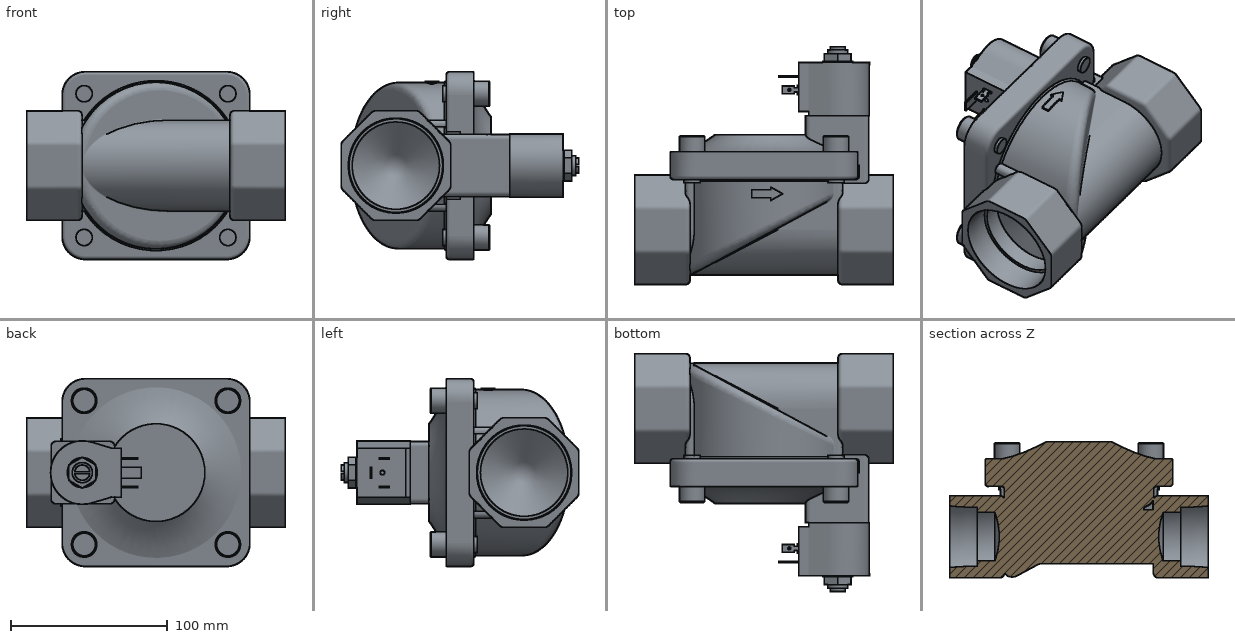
import cadquery as cq
import math


total_length = 165.0
total_depth = 151.8
pipe_radius = 29.0
end_sides = 8
end_flats = 70.0
end_length = 35.3
end_corner_radius = 4.3
end_rim_radius = 2.8
end_inner_x = total_length / 2 - end_length

thread_mouth_radius = 30.4
thread_root_radius = 29.9
thread_depth = 17.5
bore_radius = 27.9
bore_depth = 28.7
drill_point_angle = 118.0

flange_size = 120.0
flange_bottom_y = 32.0
flange_top_y = 49.8
flange_corner_radius = 15.0
flange_bottom_rounding = 2.3
flange_top_rounding = 1.0
pad_right_x = 60.7
pad_top_y = 41.1
pad_half_width = 21.5

chamber_radius = 53.1
chamber_slope = 28.3
chamber_plane_y = -3.8
chamber_rounding = 5.1
chamber_root_flare = 1.2
pipe_seam_rounding = 0.8

wall_half_length = 50.2
wall_inner_z = 24.8
wall_rounding = 3.0

arrow_tail_x = -8.0
arrow_neck_x = 4.3
arrow_tip_x = 11.9
arrow_y = 23.0
arrow_shaft_half = 2.5
arrow_head_half = 4.3
arrow_relief = 0.8

dome_top_y = 60.7
dome_top_radius = 31.2
dome_mid_radius = 41.5
dome_mid_y = 54.3
dome_base_radius = 54.5

bolt_offset = 45.9
bolt_head_diameter = 16.2
bolt_head_height = 10.2
bolt_head_chamfer = 0.8
bolt_end_diameter = 10.4
bolt_end_y = 29.9

tower_left_x = 26.4
tower_right_x = 67.0
tower_bottom_y = 29.4
tower_half_width = 20.0
tower_rounding = 3.3
coil_x = 47.0
coil_radius = 20.3
coil_bottom_y = 72.8
coil_top_y = 106.8
coil_face_x = 28.5
connector_face_x = 22.1
connector_bottom_y = 75.4
connector_half_width = 15.7

washer_diameter = 19.1
washer_thickness = 0.7
nut_sides = 6
nut_flats = 17.2
nut_height = 5.0
stud_diameter = 12.9
stud_height = 2.5
stud_tip_diameter = 9.7
slot_width = 1.3
overall_top_y = total_depth - end_flats / 2

ground_tip_x = 9.5
ground_y = 97.8
ground_width = 7.0
blade_thickness = 1.0
blade_tip_x = 11.5
blade_neck_x = 19.3
blade_base_x = 21.1
blade_y = 89.3
blade_z = 9.0
blade_height = 5.1
blade_neck_height = 3.0
blade_base_height = 6.1
blade_hole_x = 16.2
blade_hole_diameter = 1.5
screw_hole_y = 90.5
screw_hole_diameter = 2.8
screw_hole_depth = 3.3

overlap = 1.6


def plane_at_y(y):
    """Sketch plane facing +Y whose local x is X and local y is -Z."""
    return cq.Workplane("XZ", origin=(0, y, 0)).transformed(rotate=(180, 0, 0))


def disc(x, z, bottom_y, top_y, diameter):
    return plane_at_y(bottom_y).center(x, -z).circle(diameter / 2).extrude(top_y - bottom_y)


def box(x_range, y_range, z_range):
    sizes = [high - low for low, high in (x_range, y_range, z_range)]
    corner = (x_range[0], y_range[0], z_range[0])
    return cq.Workplane("XY").box(*sizes, centered=False).translate(corner)


def threaded_end():
    """Octagonal end on the +X side."""
    across_corners = end_flats / math.cos(math.pi / end_sides)
    return (
        cq.Workplane("YZ", origin=(end_inner_x, 0, 0))
        .transformed(rotate=(0, 0, 180 / end_sides))
        .polygon(end_sides, across_corners)
        .extrude(end_length)
        .edges("|X").fillet(end_corner_radius)
        .faces("<X").edges().fillet(end_rim_radius)
    )


def end_bore():
    """Material removed from the +X end."""
    face_x = total_length / 2
    point_depth = bore_radius / math.tan(math.radians(drill_point_angle / 2))
    return (
        cq.Workplane("XY")
        .moveTo(face_x, 0)
        .lineTo(face_x, thread_mouth_radius)
        .lineTo(face_x - thread_depth, thread_root_radius)
        .lineTo(face_x - thread_depth, bore_radius)
        .lineTo(face_x - bore_depth, bore_radius)
        .lineTo(face_x - bore_depth - point_depth, 0)
        .close()
        .revolve(360, (0, 0, 0), (1, 0, 0))
    )


def pipe():
    half_length = end_inner_x + overlap
    tube = cq.Workplane("YZ", origin=(-half_length, 0, 0)).circle(pipe_radius).extrude(2 * half_length)
    wall = box(
        (-wall_half_length, wall_half_length),
        (0, flange_bottom_y + overlap),
        (wall_inner_z, pipe_radius),
    ).edges("|Y and >Z").fillet(wall_rounding)
    return tube.union(wall).union(wall.mirror("XY"))


def chamber():
    reach = chamber_radius + overlap
    floor_y = -2 * chamber_radius
    rise = reach * math.tan(math.radians(chamber_slope))
    cylinder = disc(0, 0, floor_y, flange_bottom_y + overlap, 2 * chamber_radius)
    below_slope = (
        cq.Workplane("XY", origin=(0, 0, -reach))
        .polyline([
            (-reach, chamber_plane_y - rise),
            (reach, chamber_plane_y + rise),
            (reach, floor_y - overlap),
            (-reach, floor_y - overlap),
        ])
        .close()
        .extrude(2 * reach)
    )
    return cylinder.cut(below_slope).faces("<Y").edges().fillet(chamber_rounding)


def chamber_root():
    """Slight conical flare where the chamber meets the flange."""
    flare = cq.Solid.makeCone(
        chamber_radius,
        chamber_radius + chamber_root_flare,
        chamber_root_flare,
        pnt=cq.Vector(0, flange_bottom_y - chamber_root_flare, 0),
        dir=cq.Vector(0, 1, 0),
    )
    return cq.Workplane(flare)


def rounded_body():
    """Pipe and chamber with the seam between pipe and sloping face rounded."""
    slope = math.radians(chamber_slope)
    slope_normal = cq.Vector(math.sin(slope), -math.cos(slope), 0)
    joined = pipe().union(chamber())
    sloping_face = joined.faces(cq.selectors.ParallelDirSelector(slope_normal))
    return sloping_face.edges("%ELLIPSE or %LINE").fillet(pipe_seam_rounding)


def flow_arrow():
    outline = [
        (arrow_tail_x, arrow_y - arrow_shaft_half),
        (arrow_neck_x, arrow_y - arrow_shaft_half),
        (arrow_neck_x, arrow_y - arrow_head_half),
        (arrow_tip_x, arrow_y),
        (arrow_neck_x, arrow_y + arrow_head_half),
        (arrow_neck_x, arrow_y + arrow_shaft_half),
        (arrow_tail_x, arrow_y + arrow_shaft_half),
    ]
    prism = cq.Workplane("XY").polyline(outline).close().extrude(flange_size / 2)
    return prism.intersect(disc(0, 0, 0, flange_bottom_y, 2 * (chamber_radius + arrow_relief)))


def flange():
    return (
        plane_at_y(flange_bottom_y)
        .rect(flange_size, flange_size)
        .extrude(flange_top_y - flange_bottom_y)
        .edges("|Y").fillet(flange_corner_radius)
        .faces("<Y").edges().fillet(flange_bottom_rounding)
        .faces(">Y").edges().fillet(flange_top_rounding)
    )


def flange_pad():
    """Slight overhang of the flange underside around the pilot tower."""
    return box(
        (0, pad_right_x),
        (flange_bottom_y, pad_top_y),
        (-pad_half_width, pad_half_width),
    ).edges(">X and <Y").fillet(flange_bottom_rounding)


def dome():
    return (
        cq.Workplane("XY")
        .moveTo(0, flange_top_y - overlap)
        .lineTo(dome_base_radius, flange_top_y - overlap)
        .lineTo(dome_base_radius, flange_top_y)
        .threePointArc((dome_mid_radius, dome_mid_y), (dome_top_radius, dome_top_y))
        .lineTo(0, dome_top_y)
        .close()
        .revolve(360, (0, 0, 0), (0, 1, 0))
    )


def bolt(x, z):
    head_top_y = flange_top_y + bolt_head_height
    head = disc(x, z, flange_top_y - overlap, head_top_y, bolt_head_diameter)
    head = head.faces(">Y").chamfer(bolt_head_chamfer)
    return head.union(disc(x, z, bolt_end_y, flange_top_y, bolt_end_diameter))


def tower():
    return box(
        (tower_left_x, tower_right_x),
        (tower_bottom_y, coil_bottom_y),
        (-tower_half_width, tower_half_width),
    ).edges("|Y").fillet(tower_rounding)


def coil():
    """Round coil whose sides run tangentially into the narrower connector face."""
    run = coil_x - coil_face_x
    distance = math.hypot(run, connector_half_width)
    corner_angle = math.atan2(connector_half_width, -run)
    tangent_angle = corner_angle - math.acos(coil_radius / distance)
    tangent_x = coil_x + coil_radius * math.cos(tangent_angle)
    tangent_z = coil_radius * math.sin(tangent_angle)
    body = (
        plane_at_y(coil_bottom_y)
        .moveTo(coil_face_x, -connector_half_width)
        .lineTo(tangent_x, -tangent_z)
        .threePointArc((coil_x + coil_radius, 0), (tangent_x, tangent_z))
        .lineTo(coil_face_x, connector_half_width)
        .close()
        .extrude(coil_top_y - coil_bottom_y)
    )
    connector = box(
        (connector_face_x, coil_face_x + overlap),
        (connector_bottom_y, coil_top_y),
        (-connector_half_width, connector_half_width),
    )
    screw_hole = (
        cq.Workplane("YZ", origin=(connector_face_x, 0, 0))
        .center(screw_hole_y, 0)
        .circle(screw_hole_diameter / 2)
        .extrude(screw_hole_depth)
    )
    return body.union(connector).cut(screw_hole)


def coil_fastening():
    washer_top_y = coil_top_y + washer_thickness
    nut_top_y = washer_top_y + nut_height
    stud_top_y = nut_top_y + stud_height
    washer = disc(coil_x, 0, coil_top_y - overlap, washer_top_y, washer_diameter)
    nut = (
        plane_at_y(washer_top_y)
        .center(coil_x, 0)
        .transformed(rotate=(0, 0, 180 / nut_sides))
        .polygon(nut_sides, nut_flats / math.cos(math.pi / nut_sides))
        .extrude(nut_height)
    )
    stud = disc(coil_x, 0, washer_top_y, stud_top_y, stud_diameter)
    tip = disc(coil_x, 0, washer_top_y, overall_top_y, stud_tip_diameter)
    slot = box(
        (coil_x - stud_diameter, coil_x + stud_diameter),
        (stud_top_y, overall_top_y),
        (-slot_width / 2, slot_width / 2),
    )
    return washer.union(nut).union(stud).union(tip.cut(slot))


def plug_blade(z):
    """Flat blade with a pierced head, a narrow neck and a wider root."""
    z_range = (z - blade_thickness / 2, z + blade_thickness / 2)

    def section(start_x, end_x, height):
        return box((start_x, end_x), (blade_y - height / 2, blade_y + height / 2), z_range)

    hole = (
        cq.Workplane("XY", origin=(blade_hole_x, blade_y, z - blade_thickness))
        .circle(blade_hole_diameter / 2)
        .extrude(2 * blade_thickness)
    )
    head = section(blade_tip_x, blade_neck_x, blade_height).cut(hole)
    neck = section(blade_neck_x, blade_base_x, blade_neck_height)
    root = section(blade_base_x, connector_face_x + overlap, blade_base_height)
    return head.union(neck).union(root)


def ground_blade():
    return box(
        (ground_tip_x, connector_face_x + overlap),
        (ground_y - blade_thickness / 2, ground_y + blade_thickness / 2),
        (-ground_width / 2, ground_width / 2),
    )


outlet = threaded_end()
bore = end_bore()

result = rounded_body().union(flow_arrow()).union(chamber_root())
result = result.union(flange()).union(flange_pad()).union(dome())
result = result.union(outlet).union(outlet.mirror("YZ"))
for bolt_x in (-bolt_offset, bolt_offset):
    for bolt_z in (-bolt_offset, bolt_offset):
        result = result.union(bolt(bolt_x, bolt_z))
result = result.union(tower()).union(coil()).union(coil_fastening()).union(ground_blade())
for side in (-1, 1):
    result = result.union(plug_blade(side * blade_z))
result = result.cut(bore).cut(bore.mirror("YZ"))